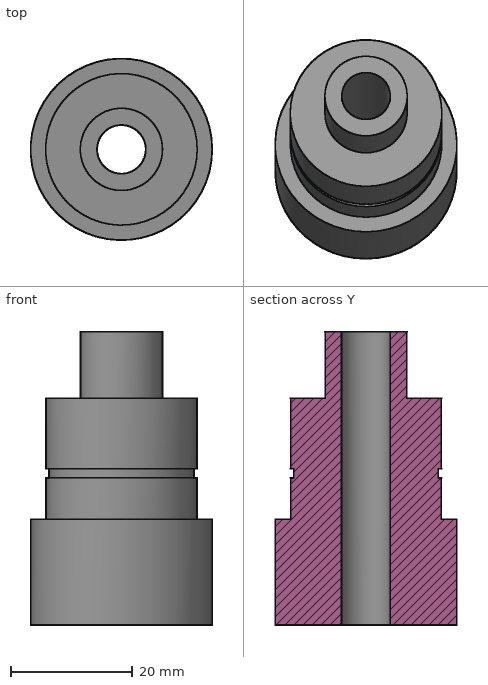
import cadquery as cq

total_height = 48.5
base_diameter = 30.0
base_height = 17.5
body_diameter = 25.05
body_top = 37.5
neck_diameter = 13.6
bore_diameter = 8.0

groove_diameter = 24.0
groove_bottom = 24.35
groove_width = 1.45


def cylinder(diameter, bottom, top):
    """Solid cylinder on the Z axis between two heights."""
    return cq.Workplane("XY").workplane(offset=bottom).circle(diameter / 2).extrude(top - bottom)


base = cylinder(base_diameter, 0, base_height)
body = cylinder(body_diameter, base_height, body_top)
neck = cylinder(neck_diameter, body_top, total_height)
sleeve = base.union(body).union(neck)

groove_top = groove_bottom + groove_width
groove_ring = cylinder(body_diameter, groove_bottom, groove_top).cut(
    cylinder(groove_diameter, groove_bottom, groove_top)
)

bore = cylinder(bore_diameter, 0, total_height)

result = sleeve.cut(groove_ring).cut(bore)